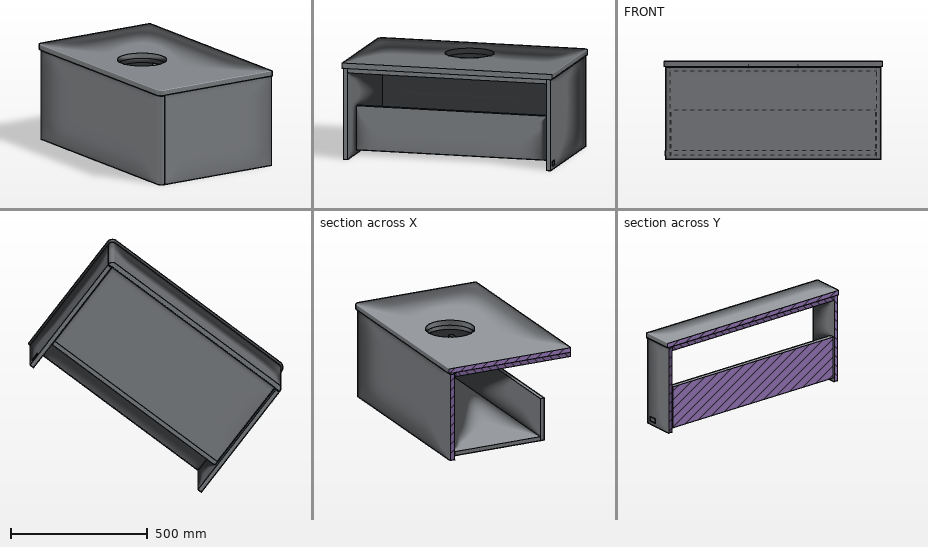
import cadquery as cq

width = 800.0
depth = 500.0
height = 360.0

slab_thickness = 20.0
slab_corner_radius = 22.0
slab_edge_round = 2.8
drain_diameter = 180.0
drain_y = 194.0

side_overhang = 6.0
board_thickness = 16.0
cabinet_left = side_overhang
cabinet_right = width - side_overhang
cabinet_top = height - slab_thickness
inner_left = cabinet_left + board_thickness
inner_right = cabinet_right - board_thickness

front_overhang = 6.0
front_thickness = 19.0
front_corner_radius = 18.0
front_top_gap = 3.0
front_back_gap = 3.0
front_back_y = front_overhang + front_thickness
carcass_front_y = front_back_y + front_back_gap

drawer_side_gap = 4.0
drawer_left = inner_left + drawer_side_gap
drawer_right = inner_right - drawer_side_gap
drawer_floor_z = 16.0
drawer_back_y = 376.0
drawer_back_top = 181.0

plate_length = 30.0
plate_height = 17.0
plate_thickness = 2.0
plate_back_margin = 17.0
plate_bottom_z = 14.0


def block(x_range, y_range, z_range):
    """Rectangular board between the given limits along each axis."""
    sizes = [high - low for low, high in (x_range, y_range, z_range)]
    corner = (x_range[0], y_range[0], z_range[0])
    return cq.Workplane("XY").box(*sizes, centered=False).translate(corner)


def drain_cutter():
    """Vertical cylinder for the drain opening, tall enough to cut any board."""
    return cq.Workplane("XY").center(width / 2, drain_y).circle(drain_diameter / 2).extrude(height)


def make_slab():
    """Countertop with rounded front corners and softened front and side edges."""
    slab = block((0, width), (0, depth), (cabinet_top, height))
    slab = slab.edges("|Z and <Y").fillet(slab_corner_radius)
    slab = slab.edges("(>Z or <Z) and (not >Y)").fillet(slab_edge_round)
    return slab.cut(drain_cutter())


def make_top_panel():
    """Board under the countertop, with the same drain opening."""
    panel = block(
        (inner_left, inner_right),
        (carcass_front_y, depth),
        (cabinet_top - board_thickness, cabinet_top),
    )
    return panel.cut(drain_cutter())


def make_side_panel(left_x):
    """Upright side board whose left face is at left_x."""
    return block((left_x, left_x + board_thickness), (carcass_front_y, depth), (0, cabinet_top))


def make_drawer_front():
    """Full-width drawer front with rounded vertical front corners."""
    top_z = cabinet_top - front_top_gap
    outline = (
        cq.Workplane("XY")
        .moveTo(cabinet_left, front_back_y)
        .lineTo(cabinet_left, front_overhang + front_corner_radius)
        .radiusArc((cabinet_left + front_corner_radius, front_overhang), -front_corner_radius)
        .lineTo(cabinet_right - front_corner_radius, front_overhang)
        .radiusArc((cabinet_right, front_overhang + front_corner_radius), -front_corner_radius)
        .lineTo(cabinet_right, front_back_y)
        .close()
    )
    return outline.extrude(top_z)


def make_drawer_floor():
    """Drawer floor from the drawer front to the drawer back."""
    return block(
        (drawer_left, drawer_right),
        (front_back_y, drawer_back_y),
        (drawer_floor_z, drawer_floor_z + board_thickness),
    )


def make_drawer_back():
    """Upright board closing the rear of the drawer."""
    return block(
        (drawer_left, drawer_right),
        (drawer_back_y, drawer_back_y + board_thickness),
        (drawer_floor_z, drawer_back_top),
    )


def make_plate():
    """Small plate on the outer face of the left side panel, near the back."""
    back_y = depth - plate_back_margin
    return block(
        (cabinet_left - plate_thickness, cabinet_left),
        (back_y - plate_length, back_y),
        (plate_bottom_z, plate_bottom_z + plate_height),
    )


slab = make_slab()
top_panel = make_top_panel()
side_panels = [make_side_panel(left_x) for left_x in (cabinet_left, inner_right)]
drawer_front = make_drawer_front()
drawer_floor = make_drawer_floor()
drawer_back = make_drawer_back()
plate = make_plate()

result = cq.Compound.makeCompound([
    slab.val(),
    top_panel.val(),
    *[panel.val() for panel in side_panels],
    drawer_front.val(),
    drawer_floor.val(),
    drawer_back.val(),
    plate.val(),
])